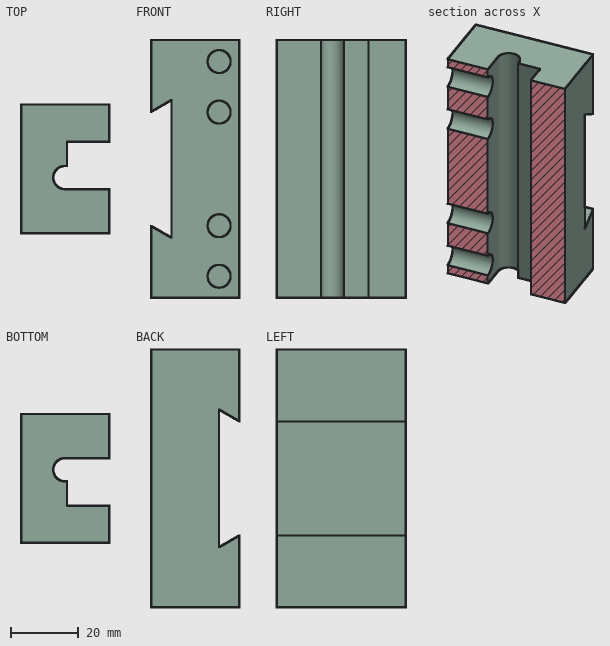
import cadquery as cq
import math

width = 26.0
depth = 38.1
height = 76.2

dovetail_depth = 5.95
dovetail_mouth = 33.7
flank_angle = 30.0

slot_floor_x = 13.6
slot_near_y = 13.1
slot_far_y = 27.05
relief_diameter = 6.8
relief_center_x = 12.9

hole_diameter = 6.8
hole_x = 20.05
hole_heights = (16.8, 31.7)


def make_block():
    return cq.Workplane("XY").box(width, depth, height, centered=(False, False, True))


def make_dovetail():
    half_mouth = dovetail_mouth / 2
    half_base = half_mouth + dovetail_depth * math.tan(math.radians(flank_angle))
    outline = [
        (0, -half_mouth),
        (dovetail_depth, -half_base),
        (dovetail_depth, half_base),
        (0, half_mouth),
    ]
    return cq.Workplane("XZ").polyline(outline).close().extrude(-depth)


def make_slot():
    relief_radius = relief_diameter / 2
    relief_center_y = slot_near_y + relief_radius
    relief_far_y = slot_near_y + relief_diameter
    return (
        cq.Workplane("XY", origin=(0, 0, -height / 2))
        .moveTo(width, slot_near_y)
        .lineTo(relief_center_x, slot_near_y)
        .threePointArc(
            (relief_center_x - relief_radius, relief_center_y),
            (relief_center_x, relief_far_y),
        )
        .lineTo(slot_floor_x, relief_far_y)
        .lineTo(slot_floor_x, slot_far_y)
        .lineTo(width, slot_far_y)
        .close()
        .extrude(height)
    )


def make_screw_holes():
    centers = [(hole_x, side * z) for z in hole_heights for side in (-1, 1)]
    return cq.Workplane("XZ").pushPoints(centers).circle(hole_diameter / 2).extrude(-slot_near_y)


result = make_block().cut(make_dovetail()).cut(make_slot()).cut(make_screw_holes())